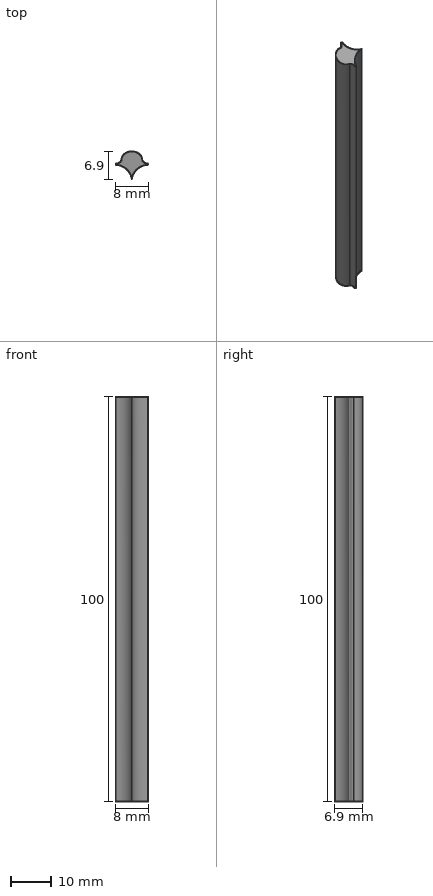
import cadquery as cq
import math

length = 100.0
width = 8.0
depth = 6.9

head_half_width = 2.6
head_height = 2.2

flank_sag = 0.9

wing_top_drop = 3.0
wing_thickness = 0.4

crown_y = depth / 2
fin_y = -depth / 2
shoulder_y = crown_y - head_height
wing_top_y = crown_y - wing_top_drop
wing_bottom_y = wing_top_y - wing_thickness
tip_x = width / 2
tip_radius = wing_thickness / 2
tip_center_y = wing_top_y - tip_radius
wing_end_x = tip_x - tip_radius

flank_run = wing_end_x
flank_drop = wing_bottom_y - fin_y
flank_chord = math.hypot(flank_run, flank_drop)
flank_mid_x = wing_end_x / 2 - flank_sag * flank_drop / flank_chord
flank_mid_y = (wing_bottom_y + fin_y) / 2 + flank_sag * flank_run / flank_chord

neck_run = wing_end_x - head_half_width
neck_drop = shoulder_y - wing_top_y
neck_chord = math.hypot(neck_run, neck_drop)
neck_sag = neck_chord / 2 * math.tan(math.atan2(neck_drop, neck_run) / 2)
neck_mid_x = (wing_end_x + head_half_width) / 2 - neck_sag * neck_drop / neck_chord
neck_mid_y = (shoulder_y + wing_top_y) / 2 - neck_sag * neck_run / neck_chord


def make_section():
    """Closed outline below the head, clockwise from the right shoulder."""
    return (
        cq.Workplane("XY", origin=(0, 0, -length / 2))
        .moveTo(head_half_width, shoulder_y)
        .threePointArc((neck_mid_x, neck_mid_y), (wing_end_x, wing_top_y))
        .threePointArc((tip_x, tip_center_y), (wing_end_x, wing_bottom_y))
        .threePointArc((flank_mid_x, flank_mid_y), (0, fin_y))
        .threePointArc((-flank_mid_x, flank_mid_y), (-wing_end_x, wing_bottom_y))
        .threePointArc((-tip_x, tip_center_y), (-wing_end_x, wing_top_y))
        .threePointArc((-neck_mid_x, neck_mid_y), (-head_half_width, shoulder_y))
        .close()
    )


def make_head():
    """Full elliptical bar trimmed to the half above the shoulders."""
    base = cq.Workplane("XY", origin=(0, shoulder_y, -length / 2))
    ellipse_bar = base.ellipse(head_half_width, head_height).extrude(length)
    upper_half = base.center(0, head_height / 2).rect(width, head_height).extrude(length)
    return ellipse_bar.intersect(upper_half)


result = make_section().extrude(length).union(make_head())